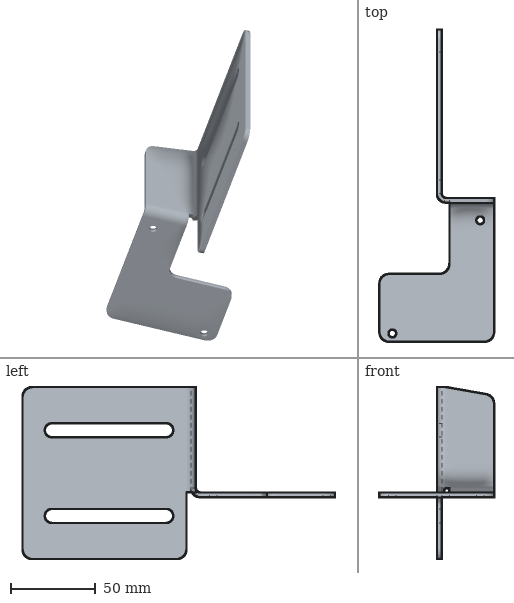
import cadquery as cq
import math

width = 68.0
depth = 185.0
height = 102.0

thickness = 3.0
inner_bend = 2.5
outer_bend = inner_bend + thickness
corner_radius = 6.0

wall_x = 34.0
flange_front = 82.3
wall_front = flange_front + outer_bend
slot_length = 75.8
slot_width = 8.1
slot_center_y = 133.8
slot_spacing = 50.7

flange_left = wall_x + outer_bend
flange_slope = math.radians(10)

foot_bottom = 36.6
foot_top = foot_bottom + thickness
foot_length = 40.3
neck_left = 41.5
neck_back = flange_front - inner_bend
hole_diameter = 4.5
hole_centers = [(7.8, 5.0), (59.8, 72.0)]

relief_width = 3.0
relief_height = 2.4


def make_wall():
    """Flat wall with two long slots and three rounded corners."""
    wall = cq.Workplane("XY").box(thickness, depth - wall_front, height, centered=False)
    wall = wall.translate((wall_x, wall_front, 0))
    wall = wall.edges("|X").edges(">Y or <Z").fillet(corner_radius)
    slots = (
        cq.Workplane("YZ", origin=(wall_x, slot_center_y, height / 2))
        .rarray(1.8, slot_spacing, 1, 2)
        .slot2D(slot_length, slot_width)
        .extrude(thickness)
    )
    return wall.cut(slots)


def make_bend(plane, origin, length):
    """Quarter-round bend filling the lower-left quadrant about its axis."""
    diagonal = math.sqrt(0.5)
    return (
        cq.Workplane(plane, origin=origin)
        .moveTo(-outer_bend, 0)
        .threePointArc((-outer_bend * diagonal, -outer_bend * diagonal), (0, -outer_bend))
        .lineTo(0, -inner_bend)
        .threePointArc((-inner_bend * diagonal, -inner_bend * diagonal), (-inner_bend, 0))
        .close()
        .extrude(length)
    )


def make_flange():
    """Upright flange with a sloping top and a rounded outer corner."""
    low_side = height - (width - flange_left) * math.tan(flange_slope)
    flange = (
        cq.Workplane("XZ", origin=(0, flange_front + thickness, 0))
        .moveTo(flange_left, foot_top)
        .lineTo(neck_left, foot_top)
        .lineTo(neck_left, foot_top + inner_bend)
        .lineTo(width, foot_top + inner_bend)
        .lineTo(width, low_side)
        .lineTo(flange_left, height)
        .close()
        .extrude(thickness)
    )
    return flange.edges("|Y").edges(cq.selectors.NearestToPointSelector(
        (width, flange_front, low_side))).fillet(corner_radius)


def make_foot():
    """L-shaped foot with rounded corners and two mounting holes."""
    foot = (
        cq.Workplane("XY", origin=(0, 0, foot_bottom))
        .polyline([
            (0, 0),
            (width, 0),
            (width, neck_back),
            (neck_left, neck_back),
            (neck_left, foot_length),
            (0, foot_length),
        ])
        .close()
        .extrude(thickness)
    )
    foot = foot.edges("|Z").edges("not >Y").fillet(corner_radius)
    holes = (
        cq.Workplane("XY", origin=(0, 0, foot_bottom))
        .pushPoints(hole_centers)
        .circle(hole_diameter / 2)
        .extrude(thickness)
    )
    return foot.cut(holes)


def make_relief():
    """Round-topped notch through the flange, beside the neck of the foot."""
    radius = relief_width / 2
    center_z = foot_top + relief_height - radius
    left = neck_left - relief_width
    return (
        cq.Workplane("XZ", origin=(0, wall_front, 0))
        .moveTo(left, foot_bottom)
        .lineTo(neck_left, foot_bottom)
        .lineTo(neck_left, center_z)
        .threePointArc((left + radius, center_z + radius), (left, center_z))
        .close()
        .extrude(outer_bend)
    )


wall_bend = make_bend("XY", (flange_left, wall_front, foot_top), height - foot_top)

foot_bend = make_bend("YZ", (neck_left, 0, 0), width - neck_left).mirror("XZ")
foot_bend = foot_bend.translate((0, neck_back, foot_top + inner_bend))

result = (
    make_wall()
    .union(wall_bend)
    .union(make_flange())
    .union(foot_bend)
    .union(make_foot())
    .cut(make_relief())
)